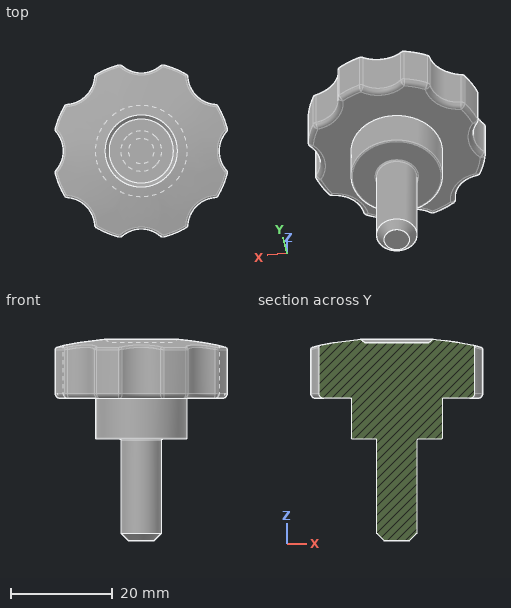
import cadquery as cq
import math

hub_diameter = 18.0
hub_edge_fillet = 0.25

stud_diameter = 8.0
stud_length = 20.0
stud_tip_chamfer = 1.5
collar_fillet = 0.25

head_diameter = 35.0
head_bottom = 8.0
dome_apex = 20.0
dome_radius = 76.5

recess_floor_height = 19.0
recess_floor_radius = 6.3
rim_height = 19.67

scallop_count = 8
scallop_radius = 5.75
scallop_depth = 2.15
lobe_corner_fillet = 0.8
head_top_fillet = 0.5
head_bottom_fillet = 1.0

head_radius = head_diameter / 2
hub_radius = hub_diameter / 2
stud_radius = stud_diameter / 2
scallop_center_radius = head_radius - scallop_depth + scallop_radius


def dome_height(radius):
    """Height of the spherical dome at a distance from the axis."""
    return dome_apex - dome_radius + math.sqrt(dome_radius**2 - radius**2)


def scalloped_head():
    """Domed disc with round finger scallops and rounded edges."""
    mid_radius = head_radius / 2
    head = (
        cq.Workplane("XZ")
        .moveTo(0, head_bottom)
        .lineTo(head_radius, head_bottom)
        .lineTo(head_radius, dome_height(head_radius))
        .threePointArc((mid_radius, dome_height(mid_radius)), (0, dome_apex))
        .close()
        .revolve(360, (0, 0), (0, 1))
    )
    scallops = (
        cq.Workplane("XY")
        .workplane(offset=head_bottom)
        .polarArray(scallop_center_radius, 0, 360, scallop_count)
        .circle(scallop_radius)
        .extrude(dome_apex - head_bottom)
    )
    head = head.cut(scallops)
    head = head.edges("|Z").fillet(lobe_corner_fillet)
    head = head.faces("<Z").edges().fillet(head_bottom_fillet)
    return head.faces(">Z").edges().fillet(head_top_fillet)


def recess():
    """Conical cavity that truncates the dome around the axis."""
    rim_radius = math.sqrt(dome_radius**2 - (rim_height - dome_apex + dome_radius) ** 2)
    return (
        cq.Workplane("XZ")
        .moveTo(0, recess_floor_height)
        .lineTo(recess_floor_radius, recess_floor_height)
        .lineTo(rim_radius, rim_height)
        .lineTo(rim_radius, dome_apex)
        .lineTo(0, dome_apex)
        .close()
        .revolve(360, (0, 0), (0, 1))
    )


def hub():
    body = cq.Workplane("XY").circle(hub_radius).extrude(head_bottom)
    return body.faces("<Z").edges().fillet(hub_edge_fillet)


def stud():
    body = cq.Workplane("XY").circle(stud_radius).extrude(-stud_length)
    return body.faces("<Z").chamfer(stud_tip_chamfer)


def collar():
    """Concave fillet ring that blends the stud into the hub underside."""
    arc_middle = collar_fillet * (1 - math.sqrt(0.5))
    return (
        cq.Workplane("XZ")
        .lineTo(stud_radius + collar_fillet, 0)
        .threePointArc(
            (stud_radius + arc_middle, -arc_middle),
            (stud_radius, -collar_fillet),
        )
        .lineTo(0, -collar_fillet)
        .close()
        .revolve(360, (0, 0), (0, 1))
    )


result = scalloped_head().cut(recess()).union(hub()).union(collar()).union(stud())